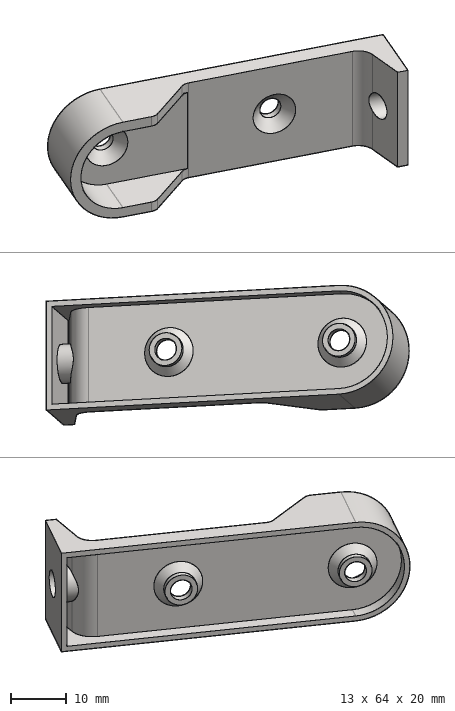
import cadquery as cq
import math

length = 64.0
width = 20.0
flange_reach = 13.0
wall = 1.0
end_radius = width / 2

plate_thickness = 3.5
rim_height = 12.0
rim_flat_end = 16.25
rim_thickness = 2.0
ramp_fillet = 2.0
flange_tip = 2.0
flange_angle = math.radians(16.6)
flange_fillet = 3.15

hole_spacing = 32.0
hole_ys = (end_radius, end_radius + hole_spacing)
hole_radius = 2.0

cross_hole_x = 7.4
cross_boss_radius = 3.5
cross_hole_radius = cross_boss_radius - wall

ramp_end = rim_flat_end + rim_height - plate_thickness
floor_x = plate_thickness - wall
overshoot = 0.65


def flange_face_y(x):
    """Y of the sloping inner face of the flange."""
    return length - flange_tip - (flange_reach - x) * math.tan(flange_angle)


def rounded_end_block(inset, x_size):
    """Plan outline with a round -Y end and a square +Y end, shrunk by inset."""
    return (
        cq.Workplane("YZ")
        .moveTo(length - inset, inset)
        .lineTo(end_radius, inset)
        .threePointArc((inset, end_radius), (end_radius, width - inset))
        .lineTo(length - inset, width - inset)
        .close()
        .extrude(x_size)
    )


def make_body():
    corner_y = flange_face_y(plate_thickness)
    profile = (
        cq.Workplane("XY")
        .polyline([
            (0, 0),
            (rim_height, 0),
            (rim_height, rim_flat_end),
            (plate_thickness, ramp_end),
            (plate_thickness, corner_y),
            (flange_reach, length - flange_tip),
            (flange_reach, length),
            (0, length),
        ])
        .close()
        .extrude(width)
    )

    def edge_near(x, y):
        return cq.selectors.NearestToPointSelector((x, y, width / 2))

    profile = profile.edges(edge_near(plate_thickness, corner_y)).fillet(flange_fillet)
    profile = profile.edges(edge_near(plate_thickness, ramp_end)).fillet(ramp_fillet)
    profile = profile.edges(edge_near(rim_height, rim_flat_end)).fillet(ramp_fillet)
    return profile.intersect(rounded_end_block(0, flange_reach))


def make_cavity():
    """Hollow open at x = 0 that leaves one wall all round and reaches into the flange."""
    slope_offset = wall / math.cos(flange_angle)
    tip_x = flange_reach - wall
    corner_y = flange_face_y(floor_x) + slope_offset
    profile = (
        cq.Workplane("XY")
        .polyline([
            (0, 0),
            (floor_x, 0),
            (floor_x, corner_y),
            (tip_x, flange_face_y(tip_x) + slope_offset),
            (tip_x, length),
            (0, length),
        ])
        .close()
        .extrude(width)
    )
    inner_corner = cq.selectors.NearestToPointSelector((floor_x, corner_y, width / 2))
    profile = profile.edges(inner_corner).fillet(flange_fillet + wall)
    return profile.intersect(rounded_end_block(wall, flange_reach))


def make_rim_pocket():
    """Pocket open at +X and along the ramps, leaving the rim standing."""
    pocket_end = ramp_end + overshoot
    limits = cq.Workplane("XY").box(rim_height, pocket_end, width, centered=False)
    limits = limits.translate((plate_thickness, 0, 0))
    return rounded_end_block(rim_thickness, flange_reach).intersect(limits)


def make_screw_boss(y):
    """Straight neck widening at 45 degrees down to the cavity floor."""
    neck_radius = hole_radius + wall
    base_radius = neck_radius + floor_x - wall
    return (
        cq.Workplane("XY")
        .polyline([(0, 0), (0, neck_radius), (wall, neck_radius), (floor_x, base_radius), (floor_x, 0)])
        .close()
        .revolve(360, (0, 0, 0), (1, 0, 0))
        .translate((0, y, end_radius))
    )


def make_screw_hole(y):
    """Through hole with a 45 degree head seat one wall inside the boss."""
    seat_x = wall * math.sqrt(2)
    head_radius = hole_radius + plate_thickness - seat_x
    return (
        cq.Workplane("XY")
        .polyline([
            (-overshoot, 0),
            (-overshoot, hole_radius),
            (seat_x, hole_radius),
            (plate_thickness, head_radius),
            (plate_thickness, 0),
        ])
        .close()
        .revolve(360, (0, 0, 0), (1, 0, 0))
        .translate((0, y, end_radius))
    )


def flange_cylinder(radius, start_y, end_y):
    """Cylinder along Y on the axis of the cross hole."""
    start = cq.Vector(cross_hole_x, start_y, end_radius)
    return cq.Workplane(cq.Solid.makeCylinder(radius, end_y - start_y, start, cq.Vector(0, 1, 0)))


body = make_body()
cavity = make_cavity()
flange_root_y = flange_face_y(plate_thickness) - flange_fillet

cavity = cavity.cut(flange_cylinder(cross_boss_radius, flange_root_y, length))
result = body.cut(cavity).cut(make_rim_pocket())
result = result.cut(flange_cylinder(cross_hole_radius, flange_root_y, length + overshoot))

for hole_y in hole_ys:
    result = result.union(make_screw_boss(hole_y))
    result = result.cut(make_screw_hole(hole_y))